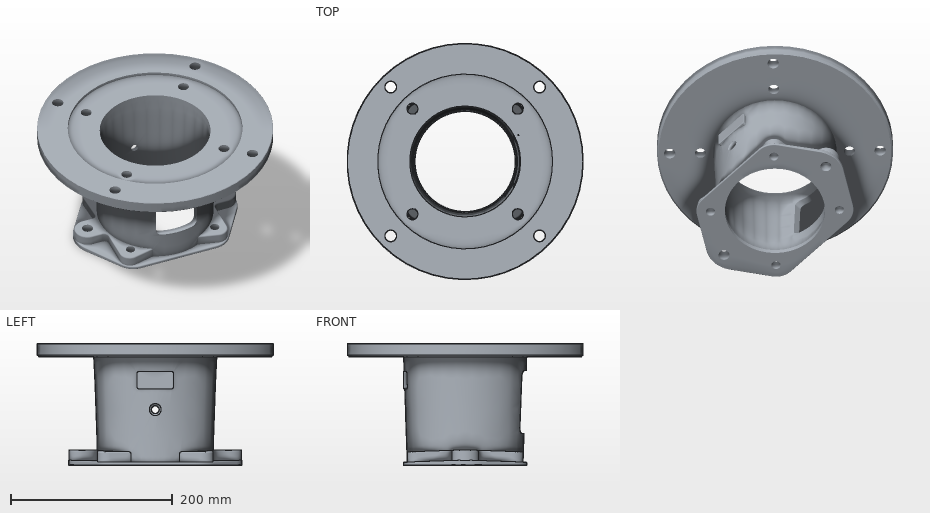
import cadquery as cq
import math

HEIGHT = 150.7
DRAFT = math.tan(math.radians(2))

FLANGE_R = 146.0
FLANGE_T = 16.5
FLANGE_BOTTOM = HEIGHT - FLANGE_T
FLANGE_TOP_CHAMFER = 0.5
FLANGE_BOTTOM_CHAMFER = 2.3
RECESS_R = 108.0
RECESS_DEPTH = 3.8
OUTER_HOLE_D = 14.0
OUTER_HOLE_XY = 92.0
INNER_HOLE_D = 13.5
INNER_HOLE_XY = 65.0

HUB_TOP_R = 76.2
HUB_BOTTOM_R = HUB_TOP_R - FLANGE_BOTTOM * DRAFT
BORE_TOP_R = 68.5
BORE_BOTTOM_R = BORE_TOP_R - HEIGHT * DRAFT
LIP_R = 62.0
LIP_TOP = 6.7

PLATE_HALF_X = 76.2
PLATE_HALF_Y = 107.2
PLATE_T = 6.7
PLATE_CORNER_XY = 50.5
PLATE_CORNER_R = PLATE_HALF_X - PLATE_CORNER_XY
PLATE_END_R = 36.5
PLATE_END_Y = PLATE_HALF_Y - PLATE_END_R
PLATE_TOP_ROUND = 1.5
PLATE_BOTTOM_ROUND = 1.0

PAD_TOP = 19.3
PAD_CENTER_XY = 58.5
PAD_R = 13.0
PAD_SIDE_ANGLE = math.radians(13)
PAD_HOLE_XY = 56.5
PAD_HOLE_D = 11.5
PAD_ROUND = 1.8
LUG_Y = 90.5
LUG_R = 16.5
LUG_NECK_R = 5.8
LUG_HOLE_D = 13.7

WINDOW_HALF_W = 27.5
WINDOW_BOTTOM = 39.7
WINDOW_TOP = 117.0
WINDOW_CORNER_R = 7.3
SIDE_HOLE_Z = 69.0
SIDE_HOLE_D = 9.3
SIDE_HOLE_CHAMFER = 3.0
BADGE_W = 45.0
BADGE_BOTTOM = 94.5
BADGE_TOP = 116.3
BADGE_FACE_X = 76.2
BADGE_CORNER_R = 2.3
BADGE_EDGE_ROUND = 1.0


def four_corners(distance):
    return [(sx * distance, sy * distance) for sx in (-1, 1) for sy in (-1, 1)]


def revolved(points):
    return cq.Workplane("XZ").polyline(points).close().revolve(360, (0, 0, 0), (0, 1, 0))


def ridge_roof(ridge_z):
    """Everything below a ridge along Y that falls away to both sides at the draft angle."""
    reach = FLANGE_R
    eave_z = ridge_z - reach * DRAFT
    profile = [(-reach, -reach), (reach, -reach), (reach, eave_z), (0, ridge_z), (-reach, eave_z)]
    return cq.Workplane("XZ").polyline(profile).close().extrude(reach, both=True)


def flange():
    disc = cq.Workplane("XY").workplane(offset=FLANGE_BOTTOM).circle(FLANGE_R).extrude(FLANGE_T)
    disc = disc.faces(">Z").edges().chamfer(FLANGE_TOP_CHAMFER)
    disc = disc.faces("<Z").edges().chamfer(FLANGE_BOTTOM_CHAMFER)
    recess = cq.Workplane("XY").workplane(offset=HEIGHT - RECESS_DEPTH).circle(RECESS_R).extrude(FLANGE_T)
    return disc.cut(recess)


def hub():
    return revolved([(0, 0), (HUB_BOTTOM_R, 0), (HUB_TOP_R, FLANGE_BOTTOM), (0, FLANGE_BOTTOM)])


def bore():
    lip_seat_r = BORE_BOTTOM_R + LIP_TOP * DRAFT
    lip = [(0, 0), (LIP_R, 0), (LIP_R, LIP_TOP)]
    cone = [(lip_seat_r, LIP_TOP), (BORE_TOP_R, HEIGHT), (0, HEIGHT)]
    return revolved(lip + cone)


def plate():
    """A quarter of the foot plate: straight side, corner arc, tangent line, end arc."""

    def on_corner(angle):
        return (
            PLATE_CORNER_XY + PLATE_CORNER_R * math.sin(angle),
            PLATE_CORNER_XY + PLATE_CORNER_R * math.cos(angle),
        )

    def on_end(angle):
        return (PLATE_END_R * math.sin(angle), PLATE_END_Y + PLATE_END_R * math.cos(angle))

    dx = PLATE_CORNER_XY
    dy = PLATE_CORNER_XY - PLATE_END_Y
    facing = math.asin((PLATE_END_R - PLATE_CORNER_R) / math.hypot(dx, dy)) - math.atan2(dy, dx)
    slab = (
        cq.Workplane("XY")
        .moveTo(0, 0)
        .lineTo(PLATE_HALF_X, 0)
        .lineTo(PLATE_HALF_X, PLATE_CORNER_XY)
        .threePointArc(on_corner((facing + math.pi / 2) / 2), on_corner(facing))
        .lineTo(*on_end(facing))
        .threePointArc(on_end(facing / 2), (0, PLATE_HALF_Y))
        .close()
        .extrude(PLATE_T)
        .intersect(ridge_roof(PLATE_T))
    )
    slab = slab.faces("<Z").edges("not (<X or <Y)").fillet(PLATE_BOTTOM_ROUND)
    return slab.faces(">Z").edges("not (<X or <Y)").fillet(PLATE_TOP_ROUND)


def pads():
    """A quarter of the raised island: one corner pad joined to half of a lug."""

    def on_pad(angle):
        return (PAD_CENTER_XY + PAD_R * math.cos(angle), PAD_CENTER_XY + PAD_R * math.sin(angle))

    side_start = on_pad(-PAD_SIDE_ANGLE)
    side_end_y = HUB_BOTTOM_R / 4
    side_end_x = side_start[0] - (side_start[1] - side_end_y) * math.tan(PAD_SIDE_ANGLE)
    front_y = PAD_CENTER_XY + PAD_R
    block = (
        cq.Workplane("XY")
        .moveTo(0, side_end_y)
        .lineTo(side_end_x, side_end_y)
        .lineTo(*side_start)
        .threePointArc(on_pad((math.pi / 2 - PAD_SIDE_ANGLE) / 2), on_pad(math.pi / 2))
        .lineTo(LUG_R + LUG_NECK_R, front_y)
        .radiusArc((LUG_R, front_y + LUG_NECK_R), LUG_NECK_R)
        .lineTo(LUG_R, LUG_Y)
        .radiusArc((0, LUG_Y + LUG_R), -LUG_R)
        .close()
        .extrude(PAD_TOP)
        .intersect(ridge_roof(PAD_TOP))
    )
    return block.faces(">Z").edges("not (<X or <Y)").fillet(PAD_ROUND)


def foot():
    """The foot is made as one quarter, mirrored twice."""
    quarter = plate().union(pads())
    half = quarter.union(quarter.mirror("YZ"))
    return half.union(half.mirror("XZ"))


def window():
    height = WINDOW_TOP - WINDOW_BOTTOM
    return (
        cq.Workplane("YZ")
        .center(0, WINDOW_BOTTOM + height / 2)
        .rect(2 * WINDOW_HALF_W, height)
        .extrude(FLANGE_R)
        .edges("|X")
        .fillet(WINDOW_CORNER_R)
    )


def side_hole():
    """A countersunk hole through the wall on the -X side."""
    r = SIDE_HOLE_D / 2
    mouth_r = r + SIDE_HOLE_CHAMFER
    hub_r = HUB_BOTTOM_R + SIDE_HOLE_Z * DRAFT
    seat_x = SIDE_HOLE_CHAMFER - hub_r
    outline = [(0, 0), (0, r), (seat_x, r), (-hub_r, mouth_r), (-FLANGE_R, mouth_r), (-FLANGE_R, 0)]
    return (
        cq.Workplane("XY")
        .polyline(outline)
        .close()
        .revolve(360, (0, 0, 0), (1, 0, 0))
        .translate((0, 0, SIDE_HOLE_Z))
    )


def badge():
    height = BADGE_TOP - BADGE_BOTTOM
    return (
        cq.Workplane("YZ")
        .center(0, BADGE_BOTTOM + height / 2)
        .rect(BADGE_W, height)
        .extrude(-BADGE_FACE_X)
        .edges("|X")
        .fillet(BADGE_CORNER_R)
        .faces("<X")
        .edges()
        .fillet(BADGE_EDGE_ROUND)
    )


def holes(points, diameter, bottom, top):
    plane = cq.Workplane("XY").workplane(offset=bottom)
    return plane.pushPoints(points).circle(diameter / 2).extrude(top - bottom)


result = flange().union(hub()).union(foot()).union(badge())
result = result.cut(bore()).cut(window()).cut(side_hole())
result = result.cut(holes(four_corners(OUTER_HOLE_XY), OUTER_HOLE_D, FLANGE_BOTTOM, HEIGHT))
result = result.cut(holes(four_corners(INNER_HOLE_XY), INNER_HOLE_D, FLANGE_BOTTOM, HEIGHT))
result = result.cut(holes(four_corners(PAD_HOLE_XY), PAD_HOLE_D, 0, PAD_TOP))
result = result.cut(holes([(0, -LUG_Y), (0, LUG_Y)], LUG_HOLE_D, 0, PAD_TOP))